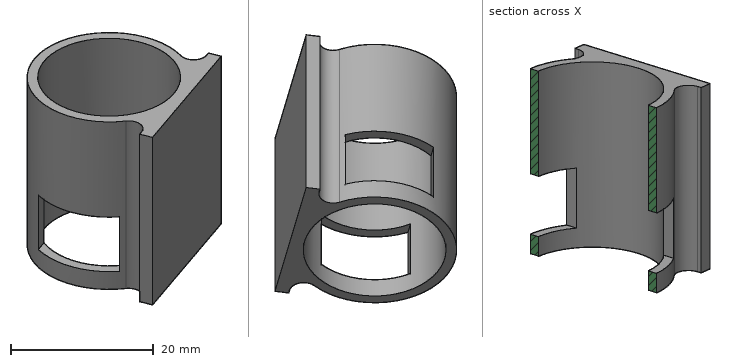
import cadquery as cq
import math

height = 28.0
outer_radius = 11.495
bore_diameter = 20.0
plate_thickness = 2.0
plate_back_x = 11.998
fillet_radius = 2.0
window_left_x = -6.58
window_right_x = 6.08
window_bottom_z = 3.0
window_height = 9.07

plate_front_x = plate_back_x - plate_thickness

fillet_x = plate_front_x - fillet_radius
fillet_center_distance = outer_radius + fillet_radius
fillet_y = math.sqrt(fillet_center_distance**2 - fillet_x**2)
ring_touch_x = fillet_x * outer_radius / fillet_center_distance
ring_touch_y = fillet_y * outer_radius / fillet_center_distance

fillet_mid_angle = math.atan2(-fillet_y, -fillet_x) / 2
fillet_mid_x = fillet_x + fillet_radius * math.cos(fillet_mid_angle)
fillet_mid_y = fillet_y + fillet_radius * math.sin(fillet_mid_angle)


def make_body():
    """Ring and mounting plate blended together, as one extruded outline."""
    return (
        cq.Workplane("XY")
        .moveTo(plate_back_x, -outer_radius)
        .lineTo(plate_back_x, outer_radius)
        .lineTo(plate_front_x, outer_radius)
        .lineTo(plate_front_x, fillet_y)
        .threePointArc((fillet_mid_x, fillet_mid_y), (ring_touch_x, ring_touch_y))
        .threePointArc((-outer_radius, 0), (ring_touch_x, -ring_touch_y))
        .threePointArc((fillet_mid_x, -fillet_mid_y), (plate_front_x, -fillet_y))
        .lineTo(plate_front_x, -outer_radius)
        .close()
        .extrude(height)
    )


def make_bore():
    return cq.Workplane("XY").circle(bore_diameter / 2).extrude(height)


def make_window():
    """Rectangular opening through both side walls along Y."""
    window_length = window_right_x - window_left_x
    return (
        cq.Workplane("XY")
        .box(window_length, 2 * outer_radius, window_height, centered=(False, True, False))
        .translate((window_left_x, 0, window_bottom_z))
    )


result = make_body().cut(make_bore()).cut(make_window())